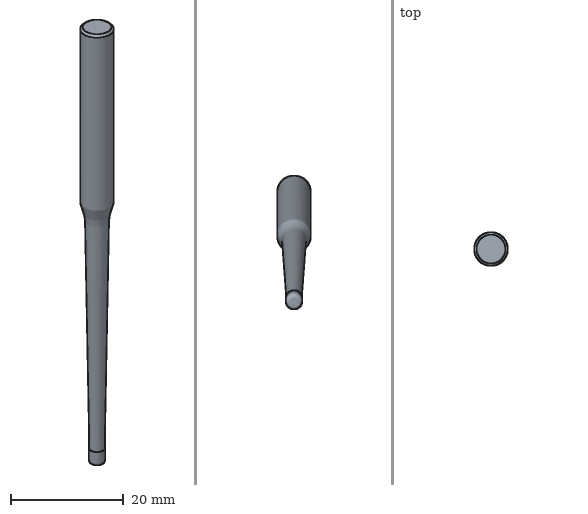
import cadquery as cq

total_length = 90.0
shank_bottom = 53.8
shoulder_bottom = 51.4
neck_top = 50.0
neck_bottom = 6.0
head_length = 3.1

shank_radius = 6.0 / 2
shoulder_radius = 4.7 / 2
neck_top_radius = 4.3 / 2
neck_bottom_radius = 2.9 / 2
head_radius = 3.0 / 2

top_chamfer = 0.45
tip_corner_radius = 0.7


def make_holder():
    """Chamfered shank, stepped conical shoulder, tapered neck and short collar."""
    profile = (
        cq.Workplane("XZ")
        .moveTo(0, head_length)
        .lineTo(neck_bottom_radius, head_length)
        .lineTo(neck_bottom_radius, neck_bottom)
        .lineTo(neck_top_radius, neck_top)
        .lineTo(shoulder_radius, shoulder_bottom)
        .lineTo(shank_radius, shank_bottom)
        .lineTo(shank_radius, total_length)
        .lineTo(0, total_length)
        .close()
    )
    holder = profile.revolve(360, (0, 0, 0), (0, 1, 0))
    return holder.faces(">Z").edges().chamfer(top_chamfer)


def make_cutting_head():
    """Short cylinder with a rounded lower corner, seated flat against the collar."""
    profile = cq.Workplane("XZ").rect(head_radius, head_length, centered=False)
    head = profile.revolve(360, (0, 0, 0), (0, 1, 0))
    return head.faces("<Z").edges().fillet(tip_corner_radius)


holder = make_holder()
cutting_head = make_cutting_head()

result = cq.Compound.makeCompound([holder.val(), cutting_head.val()])